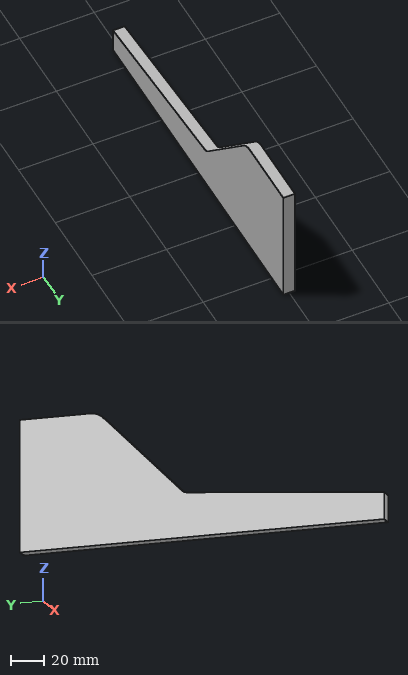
import cadquery as cq
import math

thickness = 8.0
length = 232.13
height = 82.83

shoulder_length = 50.0
tip_height = 17.0
ramp_slope = math.tan(math.radians(45))
taper_slope = math.tan(math.radians(5))

shoulder_radius = 12.0
ramp_foot_radius = 6.0

tip_y = -length / 2
back_y = length / 2
shoulder_y = back_y - shoulder_length

shoulder_to_tip = shoulder_y - tip_y
taper_height_below_shoulder = tip_height + taper_slope * shoulder_to_tip
ramp_run = (height - taper_height_below_shoulder) / (ramp_slope - taper_slope)
ramp_foot_y = shoulder_y - ramp_run
ramp_foot_height = height - ramp_slope * ramp_run


def plate_blank():
    """Plate with sharp corners, its outline in the YZ plane and centred across X."""
    outline = [
        (tip_y, 0),
        (back_y, 0),
        (back_y, height),
        (shoulder_y, height),
        (ramp_foot_y, ramp_foot_height),
        (tip_y, tip_height),
    ]
    return cq.Workplane("YZ").polyline(outline).close().extrude(thickness / 2, both=True)


def round_corner(plate, y, z, radius):
    """Round the edge that runs across the plate thickness through (y, z)."""
    corner_edge = cq.selectors.NearestToPointSelector((0, y, z))
    return plate.edges("|X").edges(corner_edge).fillet(radius)


result = plate_blank()
result = round_corner(result, shoulder_y, height, shoulder_radius)
result = round_corner(result, ramp_foot_y, ramp_foot_height, ramp_foot_radius)